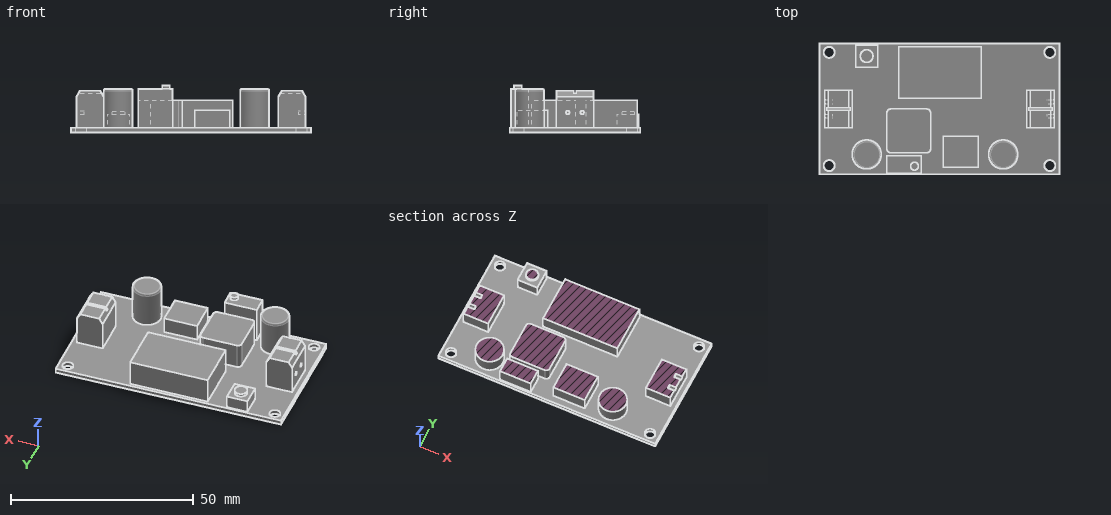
import cadquery as cq


board_length = 66.0
board_width = 36.0
board_thickness = 1.4
mount_hole_diameter = 3.0
mount_hole_edge_x = 2.7
mount_hole_edge_y = 2.45

overall_height = 13.0

tall_block_height = 7.5
display_length = 22.7
display_width = 14.1
display_x = 0.1
display_y = 10.0
inductor_side = 12.0
inductor_corner_radius = 1.05
inductor_x = -8.45
inductor_y = -6.0

regulator_length = 9.65
regulator_width = 8.5
regulator_height = 4.75
regulator_x = 5.8
regulator_y = -11.75

button_side = 6.0
button_base_height = 3.7
button_cap_diameter = 3.5
button_cap_height = 0.85
button_x = -20.0
button_y = 14.5

capacitor_height = 10.6
trimmer_length = 9.45
trimmer_width = 4.7
trimmer_x = -9.8
trimmer_y = -15.25
screw_diameter = 2.2
screw_offset_x = 2.9
screw_offset_y = -0.45
screw_height = overall_height - board_thickness - capacitor_height

capacitor_diameter = 8.0
capacitor_rim_radius = 0.45
capacitor_y = -12.5
output_capacitor_x = -20.0
input_capacitor_x = 17.5

terminal_depth = 7.5
terminal_width = 10.3
terminal_height = 10.15
terminal_end_gap = 1.5
terminal_slope_run = 1.0
terminal_slope_drop = 1.65
terminal_slot_width = 0.65
terminal_slot_depth = 0.7
wire_hole_diameter = 1.0
wire_hole_spacing = 3.95
wire_hole_height = 4.15
wire_hole_depth = 2.0


def block(length, width, height, x, y):
    """Box standing on the board, centred at (x, y)."""
    base = cq.Workplane("XY", origin=(x, y, board_thickness))
    return base.box(length, width, height, centered=(True, True, False))


def make_board():
    board = cq.Workplane("XY").box(
        board_length, board_width, board_thickness, centered=(True, True, False)
    )
    hole_span_x = board_length - 2 * mount_hole_edge_x
    hole_span_y = board_width - 2 * mount_hole_edge_y
    return (
        board.faces(">Z").workplane()
        .rect(hole_span_x, hole_span_y, forConstruction=True)
        .vertices()
        .hole(mount_hole_diameter)
    )


def make_inductor():
    body = block(inductor_side, inductor_side, tall_block_height, inductor_x, inductor_y)
    return body.edges("|Z").fillet(inductor_corner_radius)


def make_button():
    base = block(button_side, button_side, button_base_height, button_x, button_y)
    return base.faces(">Z").workplane().circle(button_cap_diameter / 2).extrude(button_cap_height)


def make_trimmer():
    body = block(trimmer_length, trimmer_width, capacitor_height, trimmer_x, trimmer_y)
    return (
        body.faces(">Z").workplane()
        .center(screw_offset_x, screw_offset_y)
        .circle(screw_diameter / 2)
        .extrude(screw_height)
    )


def make_capacitor(x):
    can = (
        cq.Workplane("XY", origin=(x, capacitor_y, board_thickness))
        .circle(capacitor_diameter / 2)
        .extrude(capacitor_height)
    )
    return can.faces(">Z").edges().fillet(capacitor_rim_radius)


def make_output_terminal():
    """Terminal at the -X end: sloped shoulders, a dividing slot on top and two wire holes."""
    outer_x = -board_length / 2 + terminal_end_gap
    inner_x = outer_x + terminal_depth
    top_z = board_thickness + terminal_height
    shoulder_z = top_z - terminal_slope_drop
    body = (
        cq.Workplane("XZ")
        .moveTo(outer_x, board_thickness)
        .lineTo(inner_x, board_thickness)
        .lineTo(inner_x, shoulder_z)
        .lineTo(inner_x - terminal_slope_run, top_z)
        .lineTo(outer_x + terminal_slope_run, top_z)
        .lineTo(outer_x, shoulder_z)
        .close()
        .extrude(terminal_width / 2, both=True)
    )
    slot = (
        cq.Workplane("XY", origin=((outer_x + inner_x) / 2, 0, top_z - terminal_slot_depth))
        .box(terminal_depth, terminal_slot_width, terminal_slot_depth, centered=(True, True, False))
    )
    wire_holes = (
        cq.Workplane("YZ", origin=(outer_x, 0, board_thickness + wire_hole_height))
        .pushPoints([(-wire_hole_spacing / 2, 0), (wire_hole_spacing / 2, 0)])
        .circle(wire_hole_diameter / 2)
        .extrude(wire_hole_depth)
    )
    return body.cut(slot).cut(wire_holes)


output_terminal = make_output_terminal()
input_terminal = output_terminal.mirror("YZ")

components = [
    block(display_length, display_width, tall_block_height, display_x, display_y),
    block(regulator_length, regulator_width, regulator_height, regulator_x, regulator_y),
    make_inductor(),
    make_button(),
    make_trimmer(),
    make_capacitor(output_capacitor_x),
    make_capacitor(input_capacitor_x),
    output_terminal,
    input_terminal,
]

result = make_board()
for component in components:
    result = result.union(component)